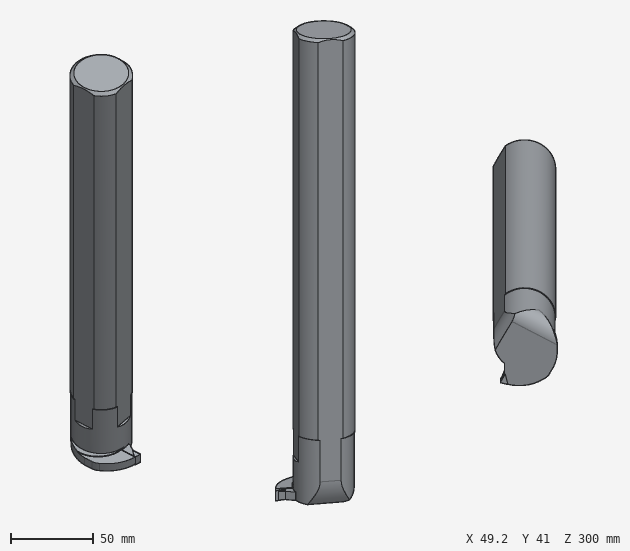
import cadquery as cq

total_length = 300.0
shank_diameter = 38.0
shank_radius = shank_diameter / 2
neck_radius = 18.5
neck_top = 43.0
flat_distance = 17.5
flat_end = 26.5
runout_height = 1.2
top_chamfer_height = 1.8
top_chamfer_width = 2.5

head_bottom = 0.5
head_top = 6.5
head_front = -23.5
plate_heel = (-18.0, -3.3)
plate_front_left = (-7.5, -18.5)
plate_front_corner = (15.5, -22.0)
plate_front_right = (23.5, -15.5)
front_start_x = 5.0
front_end_x = 10.8
insert_shoulder_y = 0.5
heel_radius = 10.8
back_relief_radius = 29.5
back_relief_height = 15.5

plate_joint_y = 3.5
boss_x = -0.3
boss_y = -3.0
boss_radius = 19.0
boss_height = 0.5

gullet_depth = 0.5
tool_width = 49.2
insert_tip_x = tool_width - shank_radius
insert_inner_x = 24.0
insert_back = -4.0
insert_back_x = 28.2
insert_side_relief = 1.0

cutter_size = 4 * shank_radius


def make_round_bar():
    """Turned shank with a chamfered end and a slightly thinner neck."""
    profile = [
        (0, head_bottom),
        (neck_radius, head_bottom),
        (neck_radius, neck_top),
        (shank_radius, neck_top),
        (shank_radius, total_length - top_chamfer_height),
        (shank_radius - top_chamfer_width, total_length),
        (0, total_length),
    ]
    return cq.Workplane("XZ").polyline(profile).close().revolve(360, (0, 0), (0, 1))


def make_flat_cutter(end_height, direction_angle):
    """Material outside one flat, with a sloping run-out at the lower end."""
    section = [
        (flat_distance, total_length),
        (flat_distance, end_height),
        (shank_radius, end_height - runout_height),
        (cutter_size, end_height - runout_height),
        (cutter_size, total_length),
    ]
    cutter = cq.Workplane("XZ").polyline(section).close().extrude(cutter_size / 2, both=True)
    return cutter.rotate((0, 0, 0), (0, 0, 1), direction_angle)


def make_plate_blank(height):
    """Offset plate shape that carries the insert beyond the neck."""
    return (
        cq.Workplane("XY", origin=(0, 0, head_bottom))
        .moveTo(*plate_heel)
        .threePointArc(plate_front_left, (front_start_x, head_front))
        .lineTo(front_end_x, head_front)
        .tangentArcPoint(plate_front_corner, relative=False)
        .threePointArc(plate_front_right, (insert_tip_x - insert_side_relief, insert_back))
        .lineTo(insert_back_x, 0)
        .lineTo(insert_inner_x, insert_shoulder_y)
        .lineTo(neck_radius, plate_joint_y)
        .lineTo(0, plate_joint_y)
        .close()
        .extrude(height)
    )


def make_head_plate():
    """Plate with its gullet and the low boss around the neck."""
    plate_height = head_top - head_bottom
    boss_top = plate_height + boss_height
    boss = (
        cq.Workplane("XY", origin=(0, 0, head_bottom))
        .center(boss_x, boss_y)
        .circle(boss_radius)
        .extrude(boss_top)
        .intersect(make_plate_blank(boss_top))
    )
    return make_plate_blank(plate_height).cut(make_gullet_cutter()).union(boss)


def make_heel_cutter():
    """Material outside the rounded lower edge on the -X side."""
    side = -neck_radius
    bend = heel_radius * (1 - 0.5 ** 0.5)
    return (
        cq.Workplane("XZ")
        .moveTo(side, head_bottom + heel_radius)
        .threePointArc((side + bend, head_bottom + bend), (side + heel_radius, head_bottom))
        .lineTo(side - heel_radius, head_bottom)
        .lineTo(side - heel_radius, head_bottom + heel_radius)
        .close()
        .extrude(cutter_size / 2, both=True)
    )


def make_back_relief_cutter():
    """Material outside the large-radius relief on the +Y side."""
    def relief_point(drop):
        inset = back_relief_radius - (back_relief_radius ** 2 - drop ** 2) ** 0.5
        return flat_distance - inset, head_bottom + back_relief_height - drop

    return (
        cq.Workplane("YZ")
        .moveTo(*relief_point(0))
        .threePointArc(relief_point(back_relief_height / 2), relief_point(back_relief_height))
        .lineTo(cutter_size, head_bottom)
        .lineTo(cutter_size, head_bottom + back_relief_height)
        .close()
        .extrude(cutter_size / 2, both=True)
    )


def make_gullet_cutter():
    """Shallow chip gullet in the plate's top, behind the insert."""
    return (
        cq.Workplane("XY", origin=(0, 0, head_top - gullet_depth))
        .moveTo(0, insert_back)
        .rect(cutter_size, cutter_size, centered=False)
        .extrude(gullet_depth)
    )


def make_insert():
    """Cutting insert with its tip at the outermost +X point of the tool."""
    outline = [
        (insert_inner_x, 0),
        (insert_tip_x, 0),
        (insert_tip_x - insert_side_relief, insert_back),
        (insert_back_x, insert_back),
    ]
    underside_gap = [
        (insert_inner_x, 0),
        (insert_tip_x, 0),
        (insert_inner_x, head_bottom),
    ]
    blank = cq.Workplane("XY").polyline(outline).close().extrude(head_top)
    gap = cq.Workplane("XZ").polyline(underside_gap).close().extrude(-insert_back)
    return blank.cut(gap)


def make_holder(insert):
    bar = make_round_bar()
    flats = [(flat_end, 0), (head_bottom, 90), (flat_end, -90)]
    for end_height, direction_angle in flats:
        bar = bar.cut(make_flat_cutter(end_height, direction_angle))
    holder = bar.union(make_head_plate())
    holder = holder.cut(make_heel_cutter()).cut(make_back_relief_cutter())
    return holder.cut(insert)


insert = make_insert()
holder = make_holder(insert)

result = cq.Compound.makeCompound([holder.val(), insert.val()])